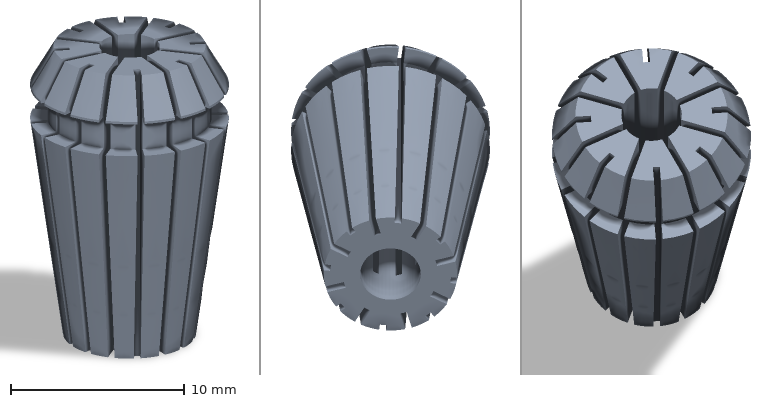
import cadquery as cq
import math


total_height = 18.0
head_height = 2.5
rim_height = 0.15
groove_height = 2.0

outer_radius = 11.5 / 2
groove_radius = 9.5 / 2
bore_radius = 3.5 / 2

head_angle = math.radians(30)
taper_angle = math.radians(8)

slot_width = 0.4
slot_overrun = 1.0
slots_per_set = 8
slot_pitch = 360 / slots_per_set
short_slot_inner_radius = 3.5

web_base_radius = 2.75
web_height = 2.6

rim_bottom = total_height - head_height
rim_top = rim_bottom + rim_height
taper_top = rim_bottom - groove_height
head_top_radius = outer_radius - (total_height - rim_top) * math.tan(head_angle)
taper_base_radius = outer_radius - taper_top * math.tan(taper_angle)
slot_outer_radius = outer_radius + slot_overrun


def revolve_profile(points):
    """Revolve a closed (radius, height) outline about Z."""
    return cq.Workplane("XZ").polyline(points).close().revolve(360, (0, 0), (0, 1))


def make_blank():
    """Bored collet: long taper, groove, narrow rim and conical head."""
    return revolve_profile([
        (bore_radius, 0),
        (taper_base_radius, 0),
        (outer_radius, taper_top),
        (groove_radius, taper_top),
        (groove_radius, rim_bottom),
        (outer_radius, rim_bottom),
        (outer_radius, rim_top),
        (head_top_radius, total_height),
        (bore_radius, total_height),
    ])


def make_web():
    """Conical ring that tapers from its base up to the bore."""
    return revolve_profile([
        (bore_radius, 0),
        (web_base_radius, 0),
        (bore_radius, web_height),
    ])


def make_slot_set(inner_radius, first_angle):
    """Full-height radial cutters, evenly spaced around the axis."""
    cutters = cq.Workplane("XY")
    for index in range(slots_per_set):
        cutter = (
            cq.Workplane("XY")
            .box(slot_outer_radius - inner_radius, slot_width, total_height, centered=(False, True, False))
            .translate((inner_radius, 0, 0))
            .rotate((0, 0, 0), (0, 0, 1), first_angle + index * slot_pitch)
        )
        cutters = cutters.add(cutter)
    return cutters.combine()


long_slots = make_slot_set(0, 0).cut(make_web())

short_slots = make_slot_set(short_slot_inner_radius, slot_pitch / 2)

result = make_blank().cut(long_slots).cut(short_slots)